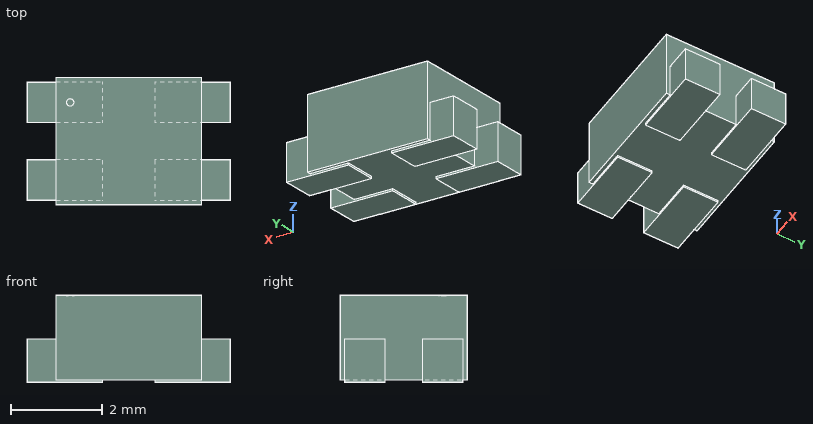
import cadquery as cq

overall_length = 4.45
overall_width = 2.79
overall_height = 1.91

housing_length = 3.195
standoff = 0.05
housing_height = overall_height - standoff

terminal_width = 0.89
terminal_height = 0.952
terminal_length = 1.65
terminal_pitch = 1.7
block_length = (overall_length - housing_length) / 2

mark_diameter = 0.16
mark_depth = 0.022
mark_x = -1.28
mark_y = terminal_pitch / 2


def make_mark():
    """Round disc whose upper face lies level with the housing top."""
    return (
        cq.Workplane("XY", origin=(mark_x, mark_y, overall_height - mark_depth))
        .circle(mark_diameter / 2)
        .extrude(mark_depth)
    )


def make_housing(mark):
    """Rectangular housing with a shallow recess that holds the mark."""
    body = (
        cq.Workplane("XY", origin=(0, 0, standoff))
        .rect(housing_length, overall_width)
        .extrude(housing_height)
    )
    return body.cut(mark)


def make_terminal(side, center_y):
    """L-shaped terminal; side is -1 for the -X end and +1 for the +X end."""
    outer_x = side * overall_length / 2
    housing_end_x = outer_x - side * block_length
    foot_tip_x = outer_x - side * terminal_length
    profile = [
        (outer_x, 0),
        (outer_x, terminal_height),
        (housing_end_x, terminal_height),
        (housing_end_x, standoff),
        (foot_tip_x, standoff),
        (foot_tip_x, 0),
    ]
    return (
        cq.Workplane("XZ", origin=(0, center_y, 0))
        .polyline(profile)
        .close()
        .extrude(terminal_width / 2, both=True)
    )


mark = make_mark()
housing = make_housing(mark)
terminals = [
    make_terminal(side, row * terminal_pitch / 2)
    for side in (-1, 1)
    for row in (-1, 1)
]

result = cq.Compound.makeCompound(
    [housing.val(), mark.val(), *[terminal.val() for terminal in terminals]]
)